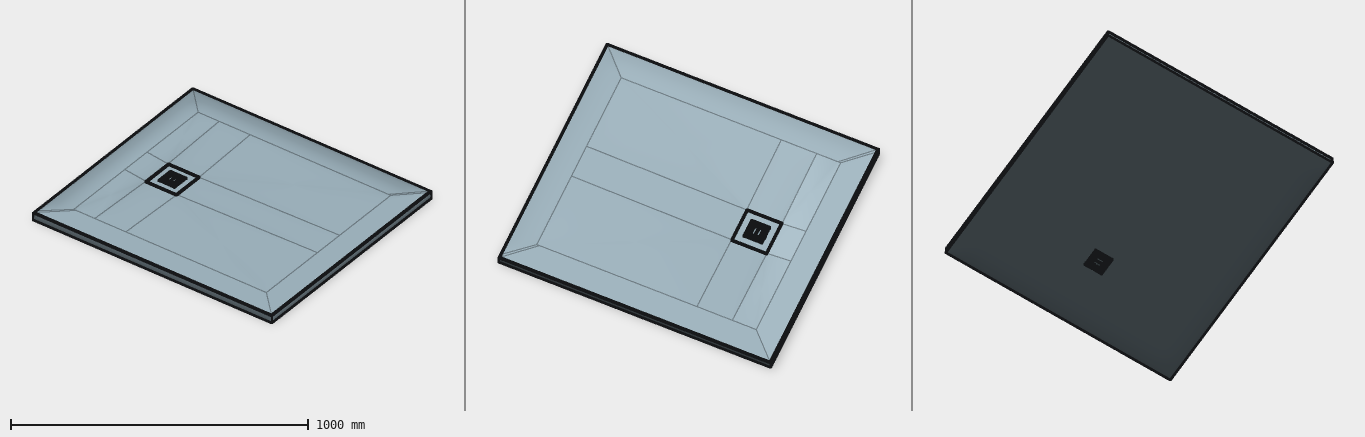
import cadquery as cq

LENGTH = 1000.0
WIDTH = 900.0
HEIGHT = 30.0
WALL_INSET = 0.75
BEVEL_WIDTH = 3.5
BEVEL_HEIGHT = 2.0

RIM_WIDTH_X = 97.0
RIM_WIDTH_Y = 100.0
RIM_DROP = 2.5
BASIN_DROP = 11.0
MITRE_OUTER_GAP = 12.0
MITRE_INNER_GAP = 10.0

DRAIN_X = -250.0
DRAIN_SIZE = 130.0
BAND_WIDTH_Y = 125.0
COVER_GAP = 3.0
GROOVE_DEPTH = 3.0

SLOT_OUTER_SIZES = (68.0, 53.0, 38.0)
SLIT_LENGTH = 24.0
SLOT_WIDTH = 4.0
BRIDGE_WIDTH = 8.0
BRIDGE_HEIGHT = 6.0

BASIN_EDGE_Z = HEIGHT - RIM_DROP
DRAIN_Z = BASIN_EDGE_Z - BASIN_DROP


def rectangle_corners(x_size, y_size, z, x_center=0.0):
    """Corners in the order south-west, south-east, north-east, north-west."""
    x, y = x_size / 2, y_size / 2
    signs = ((-1, -1), (1, -1), (1, 1), (-1, 1))
    return [cq.Vector(x_center + sx * x, sy * y, z) for sx, sy in signs]


def flat_face(*points):
    return cq.Face.makeFromWires(cq.Wire.makePolygon(list(points), close=True))


def ruled_face(a, b, c, d):
    """Twisted four-sided face ruled between the straight edges ab and dc."""
    return cq.Face.makeRuledSurface(cq.Edge.makeLine(a, b), cq.Edge.makeLine(d, c))


def wall_faces(base, top):
    corners = range(4)
    return [flat_face(base[i], base[i - 1], top[i - 1], top[i]) for i in corners]


def rim_faces(top, basin):
    """Four sloping rim faces, with a twisted strip at the south-west and north-east mitres."""
    sw, se, ne, nw = top
    basin_sw, basin_se, basin_ne, basin_nw = basin
    outer_step = cq.Vector(0, MITRE_OUTER_GAP, 0)
    inner_step = cq.Vector(MITRE_INNER_GAP, 0, 0)
    west_start, south_start = sw + outer_step, basin_sw + inner_step
    east_end, north_end = ne - outer_step, basin_ne - inner_step
    return [
        flat_face(sw, se, basin_se, south_start),
        flat_face(se, east_end, basin_ne, basin_se),
        flat_face(ne, nw, basin_nw, north_end),
        flat_face(nw, west_start, basin_sw, basin_nw),
        ruled_face(sw, west_start, basin_sw, south_start),
        ruled_face(ne, east_end, basin_ne, north_end),
    ]


def basin_faces(basin, drain):
    """Flat bands from the basin edge to the drain, twisted faces between them."""
    faces = [flat_face(*drain)]
    for i in range(4):
        corner, drain_corner = basin[i], drain[i]
        on_x_edge = cq.Vector(drain_corner.x, corner.y, corner.z)
        on_y_edge = cq.Vector(corner.x, drain_corner.y, corner.z)
        faces.append(ruled_face(corner, on_x_edge, drain_corner, on_y_edge))

        next_corner, next_drain = basin[(i + 1) % 4], drain[(i + 1) % 4]
        if corner.y == next_corner.y:
            band_start = on_x_edge
            band_end = cq.Vector(next_drain.x, corner.y, corner.z)
        else:
            band_start = on_y_edge
            band_end = cq.Vector(corner.x, next_drain.y, corner.z)
        faces.append(flat_face(band_start, band_end, next_drain, drain_corner))
    return faces


def make_tray():
    base = rectangle_corners(LENGTH, WIDTH, 0)
    wall_length = LENGTH - 2 * WALL_INSET
    wall_width = WIDTH - 2 * WALL_INSET
    wall_top = rectangle_corners(wall_length, wall_width, HEIGHT - BEVEL_HEIGHT)
    top = rectangle_corners(wall_length - 2 * BEVEL_WIDTH, wall_width - 2 * BEVEL_WIDTH, HEIGHT)
    basin = rectangle_corners(LENGTH - 2 * RIM_WIDTH_X, WIDTH - 2 * RIM_WIDTH_Y, BASIN_EDGE_Z)
    drain = rectangle_corners(DRAIN_SIZE, BAND_WIDTH_Y, DRAIN_Z, DRAIN_X)
    faces = [flat_face(*base)]
    faces += wall_faces(base, wall_top)
    faces += wall_faces(wall_top, top)
    faces += rim_faces(top, basin)
    faces += basin_faces(basin, drain)
    return cq.Workplane(cq.Solid.makeSolid(cq.Shell.makeShell(faces)))


def square_ring(outer_size, width, bottom_z, height):
    """Upright square ring around the drain axis."""
    inner_size = outer_size - 2 * width
    plane = cq.Workplane("XY", origin=(DRAIN_X, 0, bottom_z))
    return plane.rect(outer_size, outer_size).rect(inner_size, inner_size).extrude(height)


def cut_cover_groove(tray):
    return tray.cut(square_ring(DRAIN_SIZE, COVER_GAP, DRAIN_Z - GROOVE_DEPTH, BASIN_DROP))


def cut_grate(tray):
    """Cut the slots, leaving a low bar on the -X side that carries the inner squares."""
    bridge_length = SLOT_OUTER_SIZES[0] / 2
    bridge = cq.Workplane("XY", origin=(DRAIN_X - bridge_length, 0, 0)).box(
        bridge_length, BRIDGE_WIDTH, BRIDGE_HEIGHT, centered=(False, True, False)
    )
    for size in SLOT_OUTER_SIZES:
        tray = tray.cut(square_ring(size, SLOT_WIDTH, 0, HEIGHT).cut(bridge))
    slit = cq.Workplane("XY").box(SLOT_WIDTH, SLIT_LENGTH, HEIGHT, centered=(True, True, False))
    return tray.cut(slit.translate((DRAIN_X, 0, 0)))


result = cut_grate(cut_cover_groove(make_tray()))